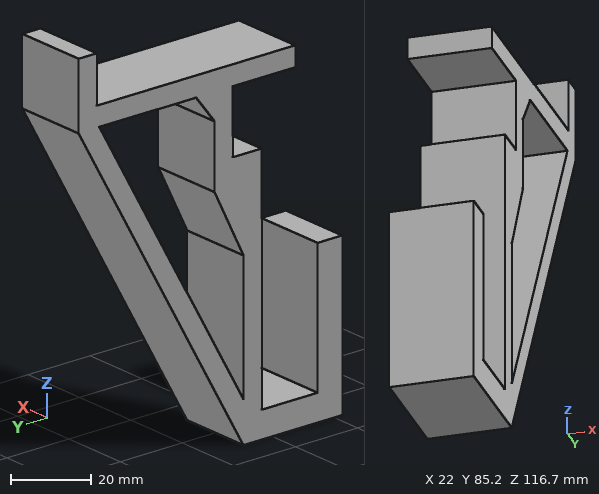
import cadquery as cq
import math

width = 22.0
depth = 85.2
height = 116.7

wall = 6.0
hook_wall = 8.0

lip_height = 14.0
shelf_depth = 70.0
shelf_top = height - lip_height
shelf_bottom = shelf_top - wall
shelf_front = depth - shelf_depth

hook_gap = 18.0
hook_height = 48.1

post_front = hook_wall + hook_gap
post_back = post_front + wall
shoulder_height = 77.8
neck_front = 35.3
neck_back = neck_front + wall

taper_bottom = 50.7
taper_top = 70.0
gusset_depth = 6.0
gusset_height = 7.8

brace_slope = shelf_bottom / (depth - post_back)
brace_rise = wall * math.hypot(1, brace_slope)
brace_run = brace_rise / brace_slope


def extrude_profile(points):
    """Extrude a closed (Y, Z) outline across the width, centred on X = 0."""
    return cq.Workplane("YZ").polyline(points).close().extrude(width / 2, both=True)


outer = extrude_profile([
    (0, 0),
    (post_back, 0),
    (depth, shelf_bottom),
    (depth, height),
    (depth - wall, height),
    (depth - wall, shelf_top),
    (shelf_front, shelf_top),
    (shelf_front, shelf_bottom),
    (neck_front, shelf_bottom),
    (neck_front, shoulder_height),
    (post_front, shoulder_height),
    (post_front, hook_wall),
    (hook_wall, hook_wall),
    (hook_wall, hook_height),
    (0, hook_height),
])

window = extrude_profile([
    (post_back, brace_rise),
    (depth - brace_run, shelf_bottom),
    (neck_back + gusset_depth, shelf_bottom),
    (neck_back, shelf_bottom - gusset_height),
    (neck_back, taper_top),
    (post_back, taper_bottom),
])

result = outer.cut(window)